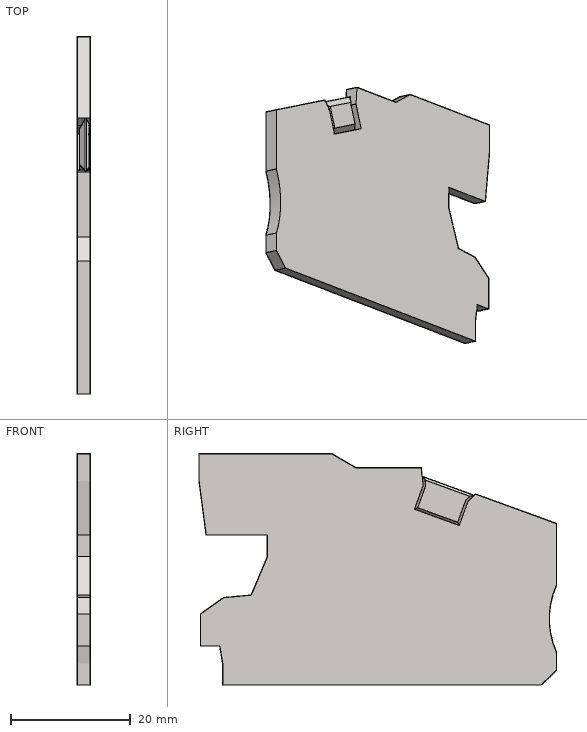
import cadquery as cq
import math

length = 59.7
height = 38.6
thickness = 2.2

slope_start_height = 27.0
slope_angle = 20.0
shoulder_height = 36.3
ramp_start = 33.5
ramp_end = 37.5

lead_in_start = 13.55
lead_in_end = (14.8, 30.6)
notch_angle = 20.0
notch_depth = 4.25
notch_width = 7.95
notch_side_height = 33.3
shoulder_start = 22.55

hollow_bottom = 5.5
hollow_top = 16.65
hollow_depth = 1.2
corner_width = 2.55
corner_height = 2.45

nose_bottom = 34.0
hook_tip = (58.5, 25.0)
mouth_back = 48.3
mouth_back_bottom = 21.45
mouth_low_point = (51.0, 15.05)
lip_start = (55.6, 14.6)
lip_end = 59.45
lip_end_top = 11.9
lip_bottom = 6.5
foot_top = 56.25
foot_side = 55.75
foot_side_top = 3.6

top_setback = 0.3
front_setback = 0.35
back_setback = 0.25
front_bevel = 0.95
back_bevel = 0.4


def slope_height(along):
    """Height of the sloping upper edge at a distance from the +Y end."""
    return slope_start_height + along * math.tan(math.radians(slope_angle))


tilt = math.radians(notch_angle)
lead_in_top = (lead_in_start, slope_height(lead_in_start))
notch_low_corner = (
    lead_in_end[0] + notch_depth * math.sin(tilt),
    lead_in_end[1] - notch_depth * math.cos(tilt),
)
notch_far_corner = (
    notch_low_corner[0] + notch_width * math.cos(tilt),
    notch_low_corner[1] + notch_width * math.sin(tilt),
)
notch_side = notch_far_corner[0] - (notch_side_height - notch_far_corner[1]) * math.tan(tilt)
notch_side_bottom = (notch_side, notch_side_height)
notch_floor = [lead_in_end, notch_low_corner, notch_far_corner, notch_side_bottom]


def point_below_slope(start, end, setback):
    """Point on the line from start to end at a vertical setback below the upper slope."""
    start_gap = slope_height(start[0]) - setback - start[1]
    end_gap = slope_height(end[0]) - setback - end[1]
    share = start_gap / (start_gap - end_gap)
    return (
        start[0] + share * (end[0] - start[0]),
        start[1] + share * (end[1] - start[1]),
    )


def side_plane(x):
    """Plane across X whose axes are distance from the +Y end and height."""
    return cq.Plane(origin=(x, length / 2, 0), xDir=(0, -1, 0), normal=(-1, 0, 0))


def make_plate():
    hollow_middle = (hollow_depth, (hollow_bottom + hollow_top) / 2)
    return (
        cq.Workplane(side_plane(thickness / 2))
        .moveTo(0, hollow_top)
        .lineTo(0, slope_start_height)
        .lineTo(*lead_in_top)
        .polyline(notch_floor, includeCurrent=True)
        .lineTo(shoulder_start, shoulder_height)
        .lineTo(ramp_start, shoulder_height)
        .lineTo(ramp_end, height)
        .lineTo(length, height)
        .lineTo(length, nose_bottom)
        .lineTo(*hook_tip)
        .lineTo(mouth_back, hook_tip[1])
        .lineTo(mouth_back, mouth_back_bottom)
        .lineTo(*mouth_low_point)
        .lineTo(*lip_start)
        .lineTo(lip_end, lip_end_top)
        .lineTo(lip_end, lip_bottom)
        .lineTo(foot_top, lip_bottom)
        .lineTo(foot_side, foot_side_top)
        .lineTo(foot_side, 0)
        .lineTo(corner_width, 0)
        .lineTo(0, corner_height)
        .lineTo(0, hollow_bottom)
        .threePointArc(hollow_middle, (0, hollow_top))
        .close()
        .extrude(thickness)
    )


def make_insert():
    shoulder_corner = (shoulder_start, shoulder_height)
    top_left = point_below_slope(lead_in_end, lead_in_top, top_setback)
    top_right = point_below_slope(notch_side_bottom, shoulder_corner, top_setback)
    return (
        cq.Workplane(side_plane(thickness / 2 - back_setback))
        .polyline([top_left, *notch_floor, top_right])
        .close()
        .extrude(thickness - front_setback - back_setback)
        .faces("<X")
        .chamfer(front_bevel)
        .faces(">X")
        .chamfer(back_bevel)
    )


plate = make_plate()
insert = make_insert()

result = cq.Compound.makeCompound([plate.val(), insert.val()])